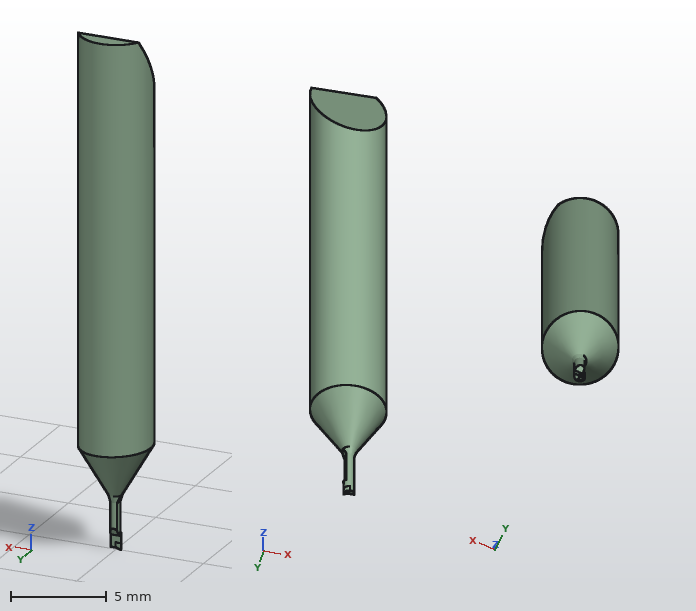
import cadquery as cq
import math

length = 29.0
shank_radius = 2.0
slope_angle = 30.0
slope_top_y = shank_radius / 2
slope_height = (slope_top_y + shank_radius) / math.tan(math.radians(slope_angle))

axis_x = 0.05
cone_half_angle = 30.0
cone_end_z = 3.07
cone_end_radius = 0.38
cone_top_radius = shank_radius + 2 * axis_x
cone_height = (cone_top_radius - cone_end_radius) / math.tan(math.radians(cone_half_angle))
cone_top_z = cone_end_z + cone_height

neck_x = 0.03
neck_radius = 0.3
neck_top_z = 2.67
neck_flat_x = -0.15

head_bottom_z = 0.1
runout_bottom_z = 0.78
runout_top_z = 1.25

tip_reach = neck_radius
tip_height = 0.38
land_top_z = 0.9
tip_relief = head_bottom_z


def make_shank():
    """Cone and bar, turned about the cone axis and trimmed to the shank diameter."""
    turned = (
        cq.Workplane("XZ")
        .moveTo(0, cone_end_z)
        .lineTo(cone_end_radius, cone_end_z)
        .lineTo(cone_top_radius, cone_top_z)
        .lineTo(cone_top_radius, length)
        .lineTo(0, length)
        .close()
        .revolve(360, (0, 0, 0), (0, 1, 0))
        .translate((axis_x, 0, 0))
    )
    return turned.intersect(cq.Workplane("XY").circle(shank_radius).extrude(length))


def make_neck():
    """Round neck with a tapered blend up to the cone end."""
    neck = (
        cq.Workplane("XY", origin=(neck_x, 0, head_bottom_z))
        .circle(neck_radius)
        .extrude(neck_top_z - head_bottom_z)
    )
    blend = (
        cq.Workplane("XY", origin=(neck_x, 0, neck_top_z))
        .circle(neck_radius)
        .workplane(offset=cone_end_z - neck_top_z)
        .center(axis_x - neck_x, 0)
        .circle(cone_end_radius)
        .loft(ruled=True)
    )
    return neck.union(blend).cut(make_flat_cutter())


def make_flat_cutter():
    """Prism that flattens the -X side of the neck and runs out along the blend."""
    cone_end_x = axis_x - cone_end_radius
    return (
        cq.Workplane("XZ")
        .moveTo(neck_flat_x, land_top_z)
        .lineTo(neck_flat_x, neck_top_z)
        .lineTo(cone_end_x, cone_end_z)
        .lineTo(neck_x - 2 * neck_radius, cone_end_z)
        .lineTo(neck_x - 2 * neck_radius, land_top_z)
        .close()
        .extrude(cone_end_radius, both=True)
    )


def make_slope_cutter():
    """Wedge that leaves the sloping flat on the -Y side of the shank top."""
    return (
        cq.Workplane("YZ")
        .moveTo(slope_top_y, length)
        .lineTo(-shank_radius, length - slope_height)
        .lineTo(-shank_radius, length)
        .close()
        .extrude(shank_radius, both=True)
    )


def make_rake_cutter():
    """Prism that opens the rake face on the axis plane, with its run-out."""
    return (
        cq.Workplane("YZ")
        .moveTo(0, 0)
        .lineTo(0, runout_bottom_z)
        .lineTo(neck_radius, runout_top_z)
        .lineTo(neck_radius, 0)
        .close()
        .extrude(shank_radius, both=True)
    )


def make_quarter_round(bottom_z, top_z):
    """Quarter cylinder on the -X, -Y side of the neck axis, out to the cutting edge."""
    return (
        cq.Workplane("XY", origin=(neck_x, 0, bottom_z))
        .moveTo(-tip_reach, 0)
        .radiusArc((0, -tip_reach), -tip_reach)
        .lineTo(0, 0)
        .close()
        .extrude(top_z - bottom_z)
    )


def make_holder():
    body = make_shank().union(make_neck()).cut(make_slope_cutter()).cut(make_rake_cutter())
    return body.cut(make_quarter_round(0, tip_height))


def make_cutting_tip():
    """Quarter-round tip whose end falls away from its corner toward +X and -Y."""
    end_relief = (
        cq.Workplane("XZ")
        .moveTo(neck_x - tip_reach, 0)
        .lineTo(neck_x, 0)
        .lineTo(neck_x, tip_relief)
        .close()
        .extrude(tip_reach)
    )
    back_relief = (
        cq.Workplane("YZ")
        .moveTo(0, 0)
        .lineTo(-tip_reach, 0)
        .lineTo(-tip_reach, tip_relief)
        .close()
        .extrude(tip_reach, both=True)
    )
    return make_quarter_round(0, tip_height).cut(end_relief).cut(back_relief)


holder = make_holder()
cutting_tip = make_cutting_tip()

result = cq.Compound.makeCompound([holder.val(), cutting_tip.val()])